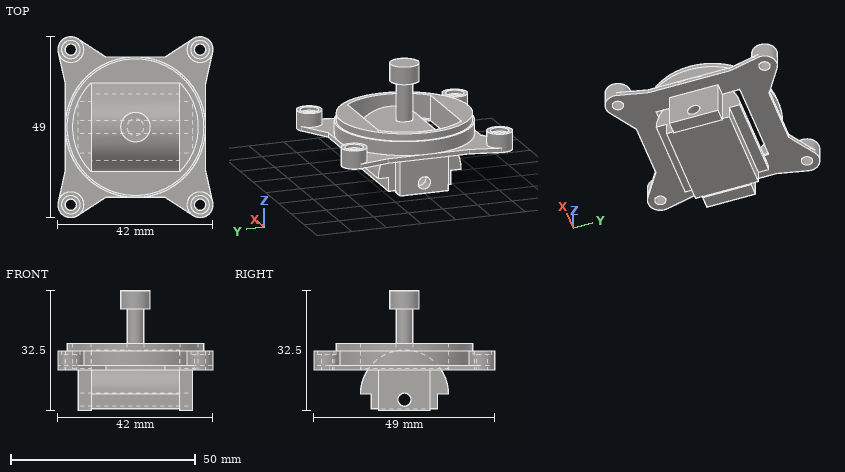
import cadquery as cq
import math

plate_top = 1.25
boss_top = 5.2
ring_top = 7.25
floor_top = 0.5
head_bottom = 16.5
head_top = 21.5
bracket_bottom = -11.0
rocker_bottom = -10.5
drum_axis_z = -6.5
pin_axis_z = -8.0

plate_side = 38.0
overall_x = 42.0
overall_y = 49.0
edge_half_x = 8.05
edge_half_y = 11.75
boss_diameter = 7.0
boss_x = (overall_x - boss_diameter) / 2
boss_y = (overall_y - boss_diameter) / 2
screw_diameter = 3.0
counterbore_diameter = 5.0
counterbore_depth = 1.0

lower_ring_diameter = plate_side
upper_ring_diameter = 37.0
bore_diameter = 34.0

rocker_width = 23.9
drum_radius = rocker_width / 2
foot_depth = 18.0
arm_thickness = 3.55
arm_depth = 13.9
pin_hole_diameter = 3.5
stem_diameter = 4.5
head_diameter = 8.0


def tangent_point(start, side):
    """Where a line from start touches a boss; side is +1 left of it or -1 right of it."""
    radius = boss_diameter / 2
    dx = boss_x - start[0]
    dy = boss_y - start[1]
    direction = math.atan2(dy, dx) + side * math.asin(radius / math.hypot(dx, dy))
    return (
        boss_x - side * radius * math.sin(direction),
        boss_y + side * radius * math.cos(direction),
    )


def box_between(size_x, size_y, bottom, top):
    """Box centred on the Z axis."""
    return cq.Workplane("XY").workplane(offset=bottom).rect(size_x, size_y).extrude(top - bottom)


def cylinder_between(diameter, bottom, top):
    """Upright cylinder on the Z axis."""
    return cq.Workplane("XY").workplane(offset=bottom).circle(diameter / 2).extrude(top - bottom)


def pin_hole():
    """Cylinder along X that cuts the pin hole through the arms and the rocker."""
    length = rocker_width + 2 * arm_thickness
    return (
        cq.Workplane("YZ", origin=(-length / 2, 0, 0))
        .center(0, pin_axis_z)
        .circle(pin_hole_diameter / 2)
        .extrude(length)
    )


def make_plate():
    """Square plate with a tapered ear reaching tangentially to each boss."""
    half = plate_side / 2
    side_corner = (half, edge_half_y)
    back_corner = (edge_half_x, half)
    ear = [
        (0, 0),
        side_corner,
        tangent_point(side_corner, -1),
        (boss_x, boss_y),
        tangent_point(back_corner, 1),
        back_corner,
    ]
    plate = box_between(plate_side, plate_side, 0, plate_top)
    for sx in (-1, 1):
        for sy in (-1, 1):
            outline = [(sx * x, sy * y) for x, y in ear]
            plate = plate.union(cq.Workplane("XY").polyline(outline).close().extrude(plate_top))
    return plate


def make_housing():
    """Plate, bosses, stepped ring and the two arms that hold the rocker."""
    body = make_plate()
    body = body.union(cylinder_between(lower_ring_diameter, 0, boss_top))
    body = body.union(cylinder_between(upper_ring_diameter, boss_top, ring_top))

    boss_centres = [(sx * boss_x, sy * boss_y) for sx in (-1, 1) for sy in (-1, 1)]
    bosses = cq.Workplane("XY").pushPoints(boss_centres).circle(boss_diameter / 2).extrude(boss_top)
    body = body.union(bosses)

    flat_sided_bore = cylinder_between(bore_diameter, floor_top, ring_top).intersect(
        box_between(bore_diameter, rocker_width, floor_top, ring_top)
    )
    body = body.cut(flat_sided_bore)
    body = body.cut(box_between(rocker_width, rocker_width, 0, floor_top))

    arm_x = (rocker_width + arm_thickness) / 2
    for sx in (-1, 1):
        arm = box_between(arm_thickness, arm_depth, bracket_bottom, 0)
        body = body.union(arm.translate((sx * arm_x, 0, 0)))
    body = body.cut(pin_hole())

    boss_tops = cq.Workplane("XY", origin=(0, 0, boss_top)).pushPoints(boss_centres)
    body = body.cut(boss_tops.circle(screw_diameter / 2).extrude(-boss_top))
    body = body.cut(boss_tops.circle(counterbore_diameter / 2).extrude(-counterbore_depth))
    return body


def make_rocker():
    """Half drum on a rectangular foot, with a headed stem."""
    drum = (
        cq.Workplane("YZ", origin=(-rocker_width / 2, 0, 0))
        .moveTo(-drum_radius, drum_axis_z)
        .threePointArc((0, drum_axis_z + drum_radius), (drum_radius, drum_axis_z))
        .close()
        .extrude(rocker_width)
    )
    foot = box_between(rocker_width, foot_depth, rocker_bottom, drum_axis_z)
    stem = cylinder_between(stem_diameter, drum_axis_z, head_bottom)
    head = cylinder_between(head_diameter, head_bottom, head_top)
    return drum.union(foot).union(stem).union(head).cut(pin_hole())


housing = make_housing()
rocker = make_rocker()
result = cq.Compound.makeCompound([housing.val(), rocker.val()])